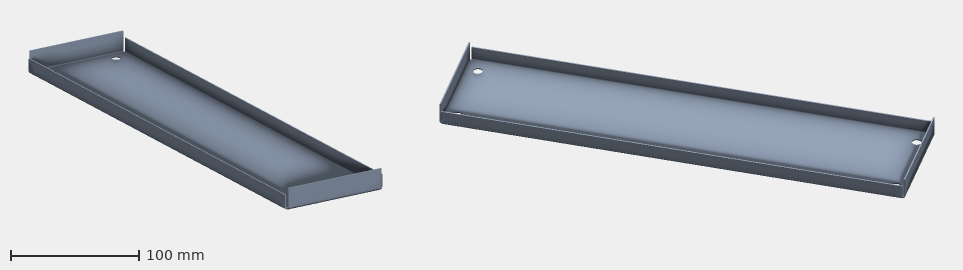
import cadquery as cq
import math

length = 376.0
width = 90.0
end_wall_height = 18.0
side_wall_height = 12.5

thickness = 1.0
bend_radius = 2.0
inner_radius = bend_radius - thickness

floor_length = length - 2 * bend_radius
floor_width = width - 2 * bend_radius

hole_diameter = 7.5
hole_spacing_x = 354.2
hole_spacing_y = 60.0


def rounded_trough(plane, span, bottom, top, radius, run):
    """Solid bar centred on the origin, with its two lower long edges rounded."""
    half = span / 2
    corner = radius * (1 - math.sqrt(0.5))
    return (
        cq.Workplane(plane)
        .moveTo(-half, top)
        .lineTo(-half, bottom + radius)
        .threePointArc((-half + corner, bottom + corner), (-half + radius, bottom))
        .lineTo(half - radius, bottom)
        .threePointArc((half - corner, bottom + corner), (half, bottom + radius))
        .lineTo(half, top)
        .close()
        .extrude(run / 2, both=True)
    )


def folded_channel(plane, span, height, run):
    """Floor with two upright walls, running along the bends."""
    outside = rounded_trough(plane, span, 0, height, bend_radius, run)
    inside = rounded_trough(plane, span - 2 * thickness, thickness, height, inner_radius, run)
    return outside.cut(inside)


end_walls = folded_channel("XZ", length, end_wall_height, floor_width)
side_walls = folded_channel("YZ", width, side_wall_height, floor_length)

holes = (
    cq.Workplane("XY")
    .rect(hole_spacing_x, hole_spacing_y, forConstruction=True)
    .vertices()
    .circle(hole_diameter / 2)
    .extrude(thickness)
)

result = end_walls.union(side_walls).cut(holes)